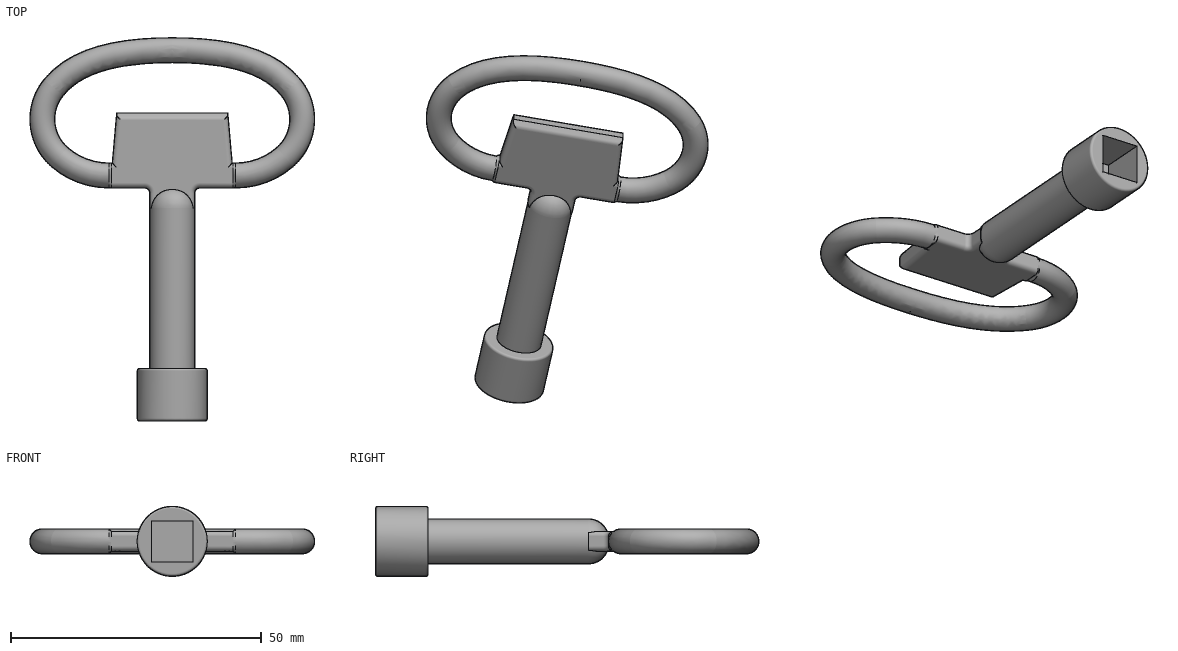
import cadquery as cq
import math

socket_radius = 7.0
socket_length = 10.5
socket_edge = 0.5
square_size = 8.2
square_depth = 10.0

shaft_radius = 4.5
shaft_end_y = 46.5
shaft_end_fillet = 4.0
shaft_dome_y = shaft_end_y - shaft_end_fillet

plate_thickness = 4.0
plate_edge_fillet = 1.0
plate_top_y = 61.5
plate_top_half_width = 11.1
plate_side_angle = 5.0
plate_end_bevel = 1.1
neck_corner_radius = 1.0

bar_radius = 2.5
transition_length = 0.5
transition_flat_angle = 5.0
crossbar_end_x = 12.15
bar_start_x = crossbar_end_x + transition_length
crossbar_low_y = shaft_end_y
handle_low_y = crossbar_low_y + bar_radius
crossbar_high_y = handle_low_y + bar_radius
handle_top_y = 74.0
low_bend_radius = 15.0
low_bend_angle = 41.0
side_bend_radius = 10.0
side_bend_end_angle = 39.0


def polar(center, radius, angle):
    """Point at an angle in degrees, measured from the first axis, on a circle."""
    turn = math.radians(angle)
    return (center[0] + radius * math.cos(turn), center[1] + radius * math.sin(turn))


def cylinder_along_y(radius, start_y, end_y):
    """Round bar on the key axis."""
    return cq.Workplane("XZ", origin=(0, start_y, 0)).circle(radius).extrude(start_y - end_y)


def make_socket():
    """Cylindrical head with both rims rounded."""
    return cylinder_along_y(socket_radius, 0, socket_length).faces("<Y or >Y").edges().fillet(socket_edge)


def make_shaft():
    """Round shaft with a domed end; it starts inside the socket head."""
    shaft = cylinder_along_y(shaft_radius, 0, shaft_end_y)
    return shaft.faces(">Y").edges().fillet(shaft_end_fillet)


def make_crossbar():
    """Flat bar between the handle ends, with a neck that runs down into the domed shaft end."""
    crossbar = (
        cq.Workplane("XY")
        .moveTo(-crossbar_end_x, crossbar_low_y)
        .lineTo(-crossbar_end_x, crossbar_high_y)
        .lineTo(crossbar_end_x, crossbar_high_y)
        .lineTo(crossbar_end_x, crossbar_low_y)
        .lineTo(shaft_radius, crossbar_low_y)
        .lineTo(shaft_radius, shaft_dome_y)
        .lineTo(-shaft_radius, shaft_dome_y)
        .lineTo(-shaft_radius, crossbar_low_y)
        .close()
        .extrude(plate_thickness / 2, both=True)
    )
    neck_corners = cq.selectors.BoxSelector(
        (-shaft_radius - neck_corner_radius, crossbar_low_y - neck_corner_radius, -plate_thickness),
        (shaft_radius + neck_corner_radius, crossbar_low_y + neck_corner_radius, plate_thickness),
    )
    crossbar = crossbar.edges("|Z").edges(neck_corners).fillet(neck_corner_radius)
    return crossbar.faces("<Z or >Z").edges("not (<Y or <X or >X)").fillet(plate_edge_fillet)


def make_plate():
    """Tapered plate rising from the crossbar, with a bevelled far end and rounded edges."""
    side_slope = math.tan(math.radians(plate_side_angle))
    low_half_width = plate_top_half_width + (plate_top_y - handle_low_y) * side_slope
    plate = (
        cq.Workplane("XY")
        .moveTo(-low_half_width, handle_low_y)
        .lineTo(-plate_top_half_width, plate_top_y)
        .lineTo(plate_top_half_width, plate_top_y)
        .lineTo(low_half_width, handle_low_y)
        .close()
        .extrude(plate_thickness / 2, both=True)
    )
    plate = plate.faces(">Y").edges("|X").chamfer(plate_end_bevel)
    return plate.faces("<Z or >Z").edges("not <Y").fillet(plate_edge_fillet)


def make_half_handle():
    """Right half of the ring, from its lower end to the middle of the top."""
    low_center = (bar_start_x, handle_low_y + low_bend_radius)
    low_end_angle = low_bend_angle - 90
    low_end = polar(low_center, low_bend_radius, low_end_angle)
    low_middle = polar(low_center, low_bend_radius, low_bend_angle / 2 - 90)
    side_center = polar(low_center, low_bend_radius - side_bend_radius, low_end_angle)
    side_middle = polar(side_center, side_bend_radius, (low_end_angle + side_bend_end_angle) / 2)
    side_end = polar(side_center, side_bend_radius, side_bend_end_angle)
    side_end_direction = polar((0, 0), 1, side_bend_end_angle + 90)
    path = (
        cq.Workplane("XY")
        .moveTo(bar_start_x, handle_low_y)
        .threePointArc(low_middle, low_end)
        .threePointArc(side_middle, side_end)
        .spline([(0, handle_top_y)], tangents=[side_end_direction, (-1, 0)], includeCurrent=True)
    )
    return cq.Workplane("YZ", origin=(bar_start_x, handle_low_y, 0)).circle(bar_radius).sweep(path)


def section_wire(x, points, corner_middles, flat_middles):
    """Bar section at X: eight (Y, Z) points joined in turn by corner arcs and by flats.

    Each arc passes through its middle point; the flats are straight if they have no middles.
    """

    def place(point):
        return cq.Vector(x, handle_low_y + point[0], point[1])

    edges = []
    for corner, corner_middle in enumerate(corner_middles):
        start = place(points[2 * corner])
        end = place(points[2 * corner + 1])
        following = place(points[(2 * corner + 2) % len(points)])
        edges.append(cq.Edge.makeThreePointArc(start, place(corner_middle), end))
        if flat_middles:
            edges.append(cq.Edge.makeThreePointArc(end, place(flat_middles[corner]), following))
        else:
            edges.append(cq.Edge.makeLine(end, following))
    return cq.Wire.assembleEdges(edges)


def make_transition():
    """Blend from the rounded rectangular crossbar section to the round bar."""
    corner_center_y = bar_radius - plate_edge_fillet
    corner_center_z = plate_thickness / 2 - plate_edge_fillet
    rectangle_points = []
    rectangle_corners = []
    circle_points = []
    circle_corners = []
    circle_flats = []
    for quarter, (sign_y, sign_z) in enumerate([(1, 1), (-1, 1), (-1, -1), (1, -1)]):
        start_angle = 90 * quarter
        middle_angle = start_angle + 45
        end_angle = start_angle + 90
        corner_center = (sign_y * corner_center_y, sign_z * corner_center_z)
        rectangle_points.append(polar(corner_center, plate_edge_fillet, start_angle))
        rectangle_points.append(polar(corner_center, plate_edge_fillet, end_angle))
        rectangle_corners.append(polar(corner_center, plate_edge_fillet, middle_angle))
        circle_points.append(polar((0, 0), bar_radius, start_angle + transition_flat_angle))
        circle_points.append(polar((0, 0), bar_radius, end_angle - transition_flat_angle))
        circle_corners.append(polar((0, 0), bar_radius, middle_angle))
        circle_flats.append(polar((0, 0), bar_radius, end_angle))
    rectangle = section_wire(crossbar_end_x, rectangle_points, rectangle_corners, None)
    circle = section_wire(bar_start_x, circle_points, circle_corners, circle_flats)
    return cq.Workplane(cq.Solid.makeLoft([rectangle, circle], True))


def make_square_hole():
    """Blind square drive hole in the open end of the socket."""
    return cq.Workplane("XZ").rect(square_size, square_size).extrude(-square_depth)


half_handle = make_transition().union(make_half_handle())
result = (
    make_socket()
    .union(make_shaft())
    .union(make_crossbar())
    .union(make_plate())
    .union(half_handle)
    .union(half_handle.mirror("YZ"))
    .cut(make_square_hole())
)